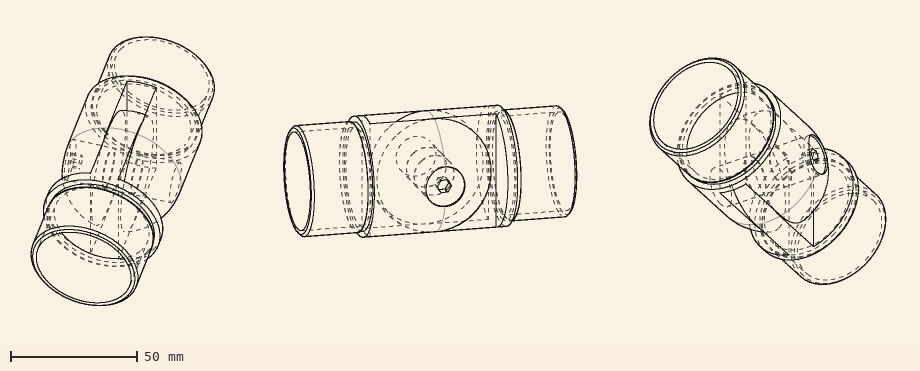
import cadquery as cq
import math

total_length = 109.0
half_length = total_length / 2
body_diameter = 48.3
body_radius = body_diameter / 2

sleeve_radius = 22.1
sleeve_length = 23.1
sleeve_chamfer = 1.0
groove_radius = 21.8
groove_width = 2.0
bore_radius = 19.6
bore_depth = 25.1
shoulder_y = half_length - sleeve_length - groove_width

slot_width = 12.1
slot_end_wall = 3.0
tongue_thickness = 11.4
flange_thickness = 4.0

pin_radius = 8.2
pin_face_x = -21.8
pin_end_x = -pin_face_x
socket_across_flats = 5.0
socket_depth = 4.4


def y_cylinder(radius, y_start, y_end):
    """Cylinder on the Y axis between two Y positions."""
    return cq.Workplane("XZ", origin=(0, y_start, 0)).circle(radius).extrude(y_start - y_end)


def x_cylinder(radius, x_start, x_end):
    """Cylinder on the X axis between two X positions."""
    return cq.Workplane("YZ", origin=(x_start, 0, 0)).circle(radius).extrude(x_end - x_start)


def round_ended_barrel(y_far):
    """Barrel from the pivot plane to y_far, closed by a dome around the pivot."""
    return y_cylinder(body_radius, 0, y_far).union(cq.Workplane("XY").sphere(body_radius))


def add_sleeve(body):
    """Join the grooved, chamfered sleeve to the +Y shoulder of a body and bore it out."""
    groove = y_cylinder(groove_radius, shoulder_y, shoulder_y + groove_width)
    sleeve = y_cylinder(sleeve_radius, half_length - sleeve_length, half_length)
    sleeve = sleeve.faces(">Y").chamfer(sleeve_chamfer)
    bore = y_cylinder(bore_radius, half_length - bore_depth, half_length)
    return body.union(groove).union(sleeve).cut(bore)


def make_fork():
    """Domed barrel slotted for the tongue, with a blind hole for the pin from -X."""
    slot_bottom_y = shoulder_y - slot_end_wall
    slot_length = slot_bottom_y + body_radius
    slot = cq.Workplane("XY").box(slot_width, slot_length, body_diameter)
    slot = slot.translate((0, slot_bottom_y - slot_length / 2, 0))
    pin_hole = x_cylinder(pin_radius, -body_radius, pin_end_x)
    fork = round_ended_barrel(shoulder_y).cut(slot).cut(pin_hole)
    return add_sleeve(fork)


def make_tongue():
    """Domed plate on a round flange, with a sleeve on the -Y side."""
    plate = cq.Workplane("XY").box(tongue_thickness, total_length, body_diameter)
    plate = plate.intersect(round_ended_barrel(shoulder_y))
    flange = y_cylinder(body_radius, shoulder_y - flange_thickness, shoulder_y)
    pin_hole = x_cylinder(pin_radius, -tongue_thickness, tongue_thickness)
    tongue = add_sleeve(plate.union(flange).cut(pin_hole))
    return tongue.rotate((0, 0, 0), (0, 0, 1), 180)


def make_pin():
    """Plain round pin with a hexagon socket in its -X face."""
    across_corners = socket_across_flats / math.cos(math.pi / 6)
    socket = cq.Workplane("YZ", origin=(pin_face_x, 0, 0))
    socket = socket.polygon(6, across_corners).extrude(socket_depth)
    return x_cylinder(pin_radius, pin_face_x, pin_end_x).cut(socket)


fork = make_fork()
tongue = make_tongue()
pin = make_pin()

result = cq.Compound.makeCompound([fork.val(), tongue.val(), pin.val()])